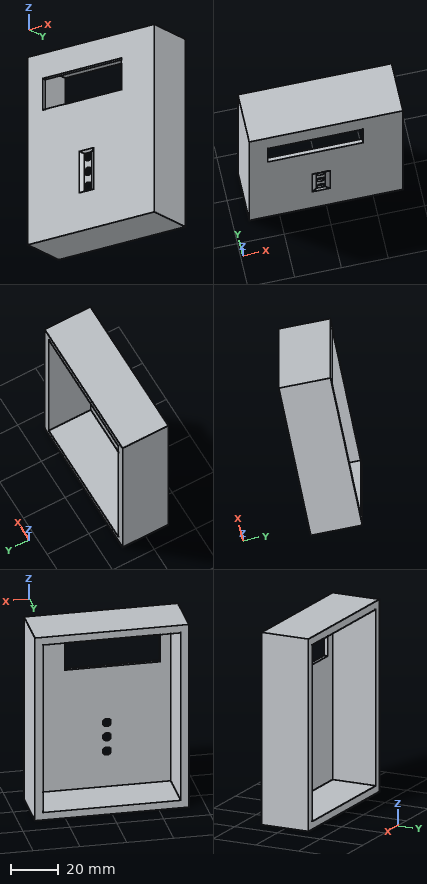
import cadquery as cq

width = 65.8
depth = 22.0
height = 83.8
side_wall = 3.5
front_wall = 1.85

window_left = 8.0
window_bottom = 58.5
window_width = 40.7
window_height = 14.0

recess_left = 27.0
recess_bottom = 17.2
recess_width = 7.55
recess_height = 18.5
recess_depth = 0.9
floor_width = 3.8
floor_height = 16.8
floor_bottom_inset = 0.6

hole_diameter = 3.4
hole_count = 3
hole_pitch = 6.5
row_center_x = recess_left + recess_width / 2
row_center_z = 26.2


def block(left, front, bottom, size_x, size_y, size_z):
    """Box placed by its left, front, bottom corner."""
    return cq.Workplane("XY").box(size_x, size_y, size_z, centered=False).translate((left, front, bottom))


def open_box():
    """Shell with a front wall and four side walls."""
    outer = block(0, 0, 0, width, depth, height)
    cavity = block(
        side_wall,
        front_wall,
        side_wall,
        width - 2 * side_wall,
        depth - front_wall,
        height - 2 * side_wall,
    )
    return outer.cut(cavity)


def tapered_recess():
    """Rectangular funnel narrowing from the front face to its floor."""
    mouth_center_z = recess_bottom + recess_height / 2
    floor_center_z = recess_bottom + floor_bottom_inset + floor_height / 2
    return (
        cq.Workplane("XZ")
        .center(row_center_x, mouth_center_z)
        .rect(recess_width, recess_height)
        .workplane(offset=-recess_depth)
        .center(0, floor_center_z - mouth_center_z)
        .rect(floor_width, floor_height)
        .loft(ruled=True)
    )


def light_holes():
    """Row of round holes through the front wall."""
    return (
        cq.Workplane("XZ")
        .center(row_center_x, row_center_z)
        .rarray(0.8, hole_pitch, 1, hole_count)
        .circle(hole_diameter / 2)
        .extrude(-front_wall)
    )


window = block(window_left, 0, window_bottom, window_width, front_wall, window_height)
result = open_box().cut(window).cut(tapered_recess()).cut(light_holes())